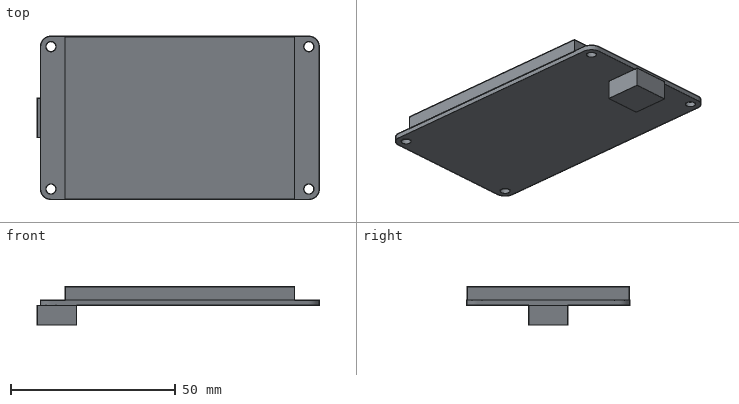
import cadquery as cq

board_length = 85.0
board_width = 49.8
board_thickness = 1.6
corner_radius = 3.2

hole_diameter = 3.0
hole_inset = corner_radius

display_length = 70.0
display_width = 49.4
display_thickness = 4.15
display_left_margin = 7.5

connector_length = 12.0
connector_width = 12.0
connector_height = 6.0
connector_overhang = 1.0

board_left = -board_length / 2


def make_board():
    """Rounded board with a mounting hole in each corner."""
    hole_spacing_x = board_length - 2 * hole_inset
    hole_spacing_y = board_width - 2 * hole_inset
    return (
        cq.Workplane("XY")
        .box(board_length, board_width, board_thickness, centered=(True, True, False))
        .edges("|Z")
        .fillet(corner_radius)
        .faces(">Z")
        .workplane()
        .rect(hole_spacing_x, hole_spacing_y, forConstruction=True)
        .vertices()
        .hole(hole_diameter)
    )


def make_display():
    """Rectangular panel resting on the top face of the board."""
    return (
        cq.Workplane("XY")
        .box(display_length, display_width, display_thickness, centered=(False, True, False))
        .translate((board_left + display_left_margin, 0, board_thickness))
    )


def make_connector():
    """Rectangular block hanging from the underside of the board."""
    return (
        cq.Workplane("XY")
        .box(connector_length, connector_width, connector_height, centered=(False, True, False))
        .translate((board_left - connector_overhang, 0, -connector_height))
    )


result = make_board().union(make_display()).union(make_connector())